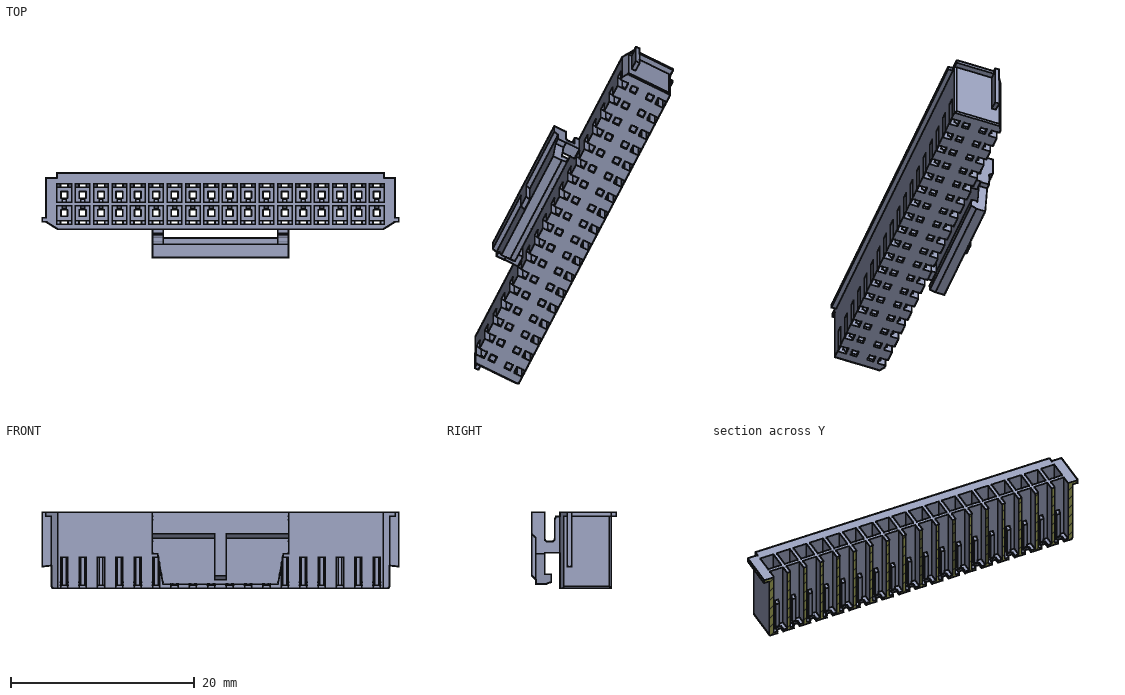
import cadquery as cq


overall_length = 38.8
height = 8.3
body_length = 36.75
body_depth = 5.6
edge_draft_inset = 0.1
edge_draft_run = 0.25
flange_length = 37.95
flange_thickness = 0.45
lip_length = 35.58
lip_depth = 0.55
front_length = 35.35
corner_bevel_depth = 0.8

tab_height = 5.95
tab_width = 0.45
tab_bottom_rise = 0.1

columns = 18
pitch = 2.0
front_hole_y = 1.8
row_spacing = 1.96
cavity_width = 1.6
cavity_depth = 1.98
floor_thickness = 0.35
pin_hole = 0.7
front_wall = 0.6
shelf_run = 0.35
slot_width = 0.78
slot_height = 3.38
rib_width = 0.43
rib_depth = 0.3
rib_top = 3.88
row_mid_y = front_hole_y + row_spacing / 2

latch_width = 14.82
arm_width = 1.2
arm_top = height - flange_thickness
arm_bottom = 3.88
arm_root = 0.6
saddle_z = 5.12
arm_fillet = 0.27
arm_bevel_run = 0.15
arm_bevel_rise = 0.35
lever_back = -1.63
lever_front = -3.05
lever_step = 0.45
lever_bottom = 0.45
grip_bottom = 5.95
hook_tip = -0.95
hook_top = 1.55
hook_bevel_run = 0.62
hook_bevel_rise = 0.25
shoulder_z = 3.75
taper_top_width = 13.65
taper_bottom_width = 12.5
spine_width = 1.25
spine_bottom = 1.4


def block(x_size, y_range, z_range):
    """Box centred on X that fills the given Y and Z ranges."""
    y_low, y_high = y_range
    z_low, z_high = z_range
    box = cq.Workplane("XY").box(x_size, y_high - y_low, z_high - z_low, centered=(True, False, False))
    return box.translate((0, y_low, z_low))


def side_profile(points, x_size):
    """Extrude a closed (y, z) outline, centred on X."""
    return cq.Workplane("YZ").polyline(points).close().extrude(x_size / 2, both=True)


def bevelled_plan(length, depth):
    """Closed (x, y) outline with the two front corners cut along the common bevel line."""
    slope = corner_bevel_depth / (flange_length - front_length)
    bevel_y = (length - front_length) * slope
    half = length / 2
    front_half = front_length / 2
    return [
        (-front_half, 0), (front_half, 0), (half, bevel_y),
        (half, depth), (-half, depth), (-half, bevel_y),
    ]


def make_housing():
    body = cq.Workplane("XY").polyline(bevelled_plan(body_length, body_depth)).close().extrude(height)
    body = bevel_ends(body)
    flange = (
        cq.Workplane("XY", origin=(0, 0, height - flange_thickness))
        .polyline(bevelled_plan(flange_length, body_depth)).close().extrude(flange_thickness)
    )
    lip_y = (body_depth, body_depth + lip_depth)
    lip = block(lip_length, lip_y, (height - flange_thickness, height))
    return body.union(flange).union(lip).union(make_tabs())


def make_tabs():
    """Both keying tabs as one bar through the housing; their undersides slope up inwards."""
    tip = overall_length / 2
    root = body_length / 2
    tip_z = height - tab_height
    root_z = tip_z + tab_bottom_rise
    outline = [(-tip, height), (-tip, tip_z), (-root, root_z), (root, root_z), (tip, tip_z), (tip, height)]
    bar = cq.Workplane("XZ").polyline(outline).close().extrude(-tab_width)
    return bar.translate((0, corner_bevel_depth, 0))


def bevel_ends(body):
    """Bevel the bottom and rear edges of both end faces."""
    half = body_length / 2
    for side in (-1, 1):
        outer = side * half
        inner = side * (half - edge_draft_inset)
        bottom_cut = (
            cq.Workplane("XZ").polyline([(outer, 0), (inner, 0), (outer, edge_draft_run)])
            .close().extrude(-body_depth)
        )
        rear_cut = (
            cq.Workplane("XY")
            .polyline([(outer, body_depth), (inner, body_depth), (outer, body_depth - edge_draft_run)])
            .close().extrude(height)
        )
        body = body.cut(bottom_cut).cut(rear_cut)
    return body


def make_front_cavity():
    """Material removed for one contact of the front row, at X = 0."""
    outer_y = front_wall
    inner_y = front_wall + cavity_depth
    shelf_y = outer_y + shelf_run
    rib_y = inner_y - rib_depth
    chamber = side_profile(
        [
            (outer_y, height), (outer_y, floor_thickness + shelf_run),
            (shelf_y, floor_thickness), (inner_y, floor_thickness), (inner_y, height),
        ],
        cavity_width,
    )
    rib = side_profile(
        [
            (inner_y, 0), (inner_y, rib_top),
            (rib_y, rib_top - rib_depth), (rib_y, 0),
        ],
        rib_width,
    )
    hole = block(pin_hole, (front_hole_y - pin_hole / 2, front_hole_y + pin_hole / 2), (0, height))
    slot = block(slot_width, (0, shelf_y), (0, slot_height))
    return chamber.union(hole).cut(rib).union(slot)


def cut_cavities(housing):
    front = make_front_cavity()
    rear = front.mirror("XZ").translate((0, 2 * row_mid_y, 0))
    for column in range(columns):
        x = (column - (columns - 1) / 2) * pitch
        housing = housing.cut(front.translate((x, 0, 0))).cut(rear.translate((x, 0, 0)))
    return housing


def make_arms():
    """Pair of U-shaped arms that carry the lever on the housing."""
    arm = side_profile(
        [
            (0, arm_bottom), (0, arm_top), (arm_bevel_run - arm_root, arm_top),
            (-arm_root, arm_top - arm_bevel_rise), (-arm_root, saddle_z),
            (lever_back, saddle_z), (lever_back, arm_bottom),
        ],
        arm_width,
    )
    arm = arm.edges(cq.selectors.NearestToPointSelector((0, -arm_root, saddle_z))).fillet(arm_fillet)
    arm = arm.union(make_saddle_fillet())
    offset = (latch_width - arm_width) / 2
    return arm.translate((-offset, 0, 0)).union(arm.translate((offset, 0, 0)))


def make_saddle_fillet():
    """Concave fillet between the saddle and the back of the lever."""
    corner = block(arm_width, (lever_back, lever_back + arm_fillet), (saddle_z, saddle_z + arm_fillet))
    round_cut = (
        cq.Workplane("YZ").center(lever_back + arm_fillet, saddle_z + arm_fillet)
        .circle(arm_fillet).extrude(arm_width, both=True)
    )
    return corner.cut(round_cut)


def make_lever():
    relief_y = lever_front + lever_step
    plate = side_profile(
        [
            (lever_back, height), (lever_front, height), (lever_front, grip_bottom),
            (relief_y, grip_bottom - lever_step), (relief_y, lever_bottom),
            (hook_tip - hook_bevel_run, lever_bottom), (hook_tip, lever_bottom + hook_bevel_rise),
            (hook_tip, hook_top), (lever_back, hook_top),
        ],
        latch_width,
    )
    outline = (
        cq.Workplane("XZ")
        .polyline([
            (-latch_width / 2, height), (latch_width / 2, height),
            (latch_width / 2, shoulder_z), (taper_top_width / 2, shoulder_z),
            (taper_bottom_width / 2, lever_bottom), (-taper_bottom_width / 2, lever_bottom),
            (-taper_top_width / 2, shoulder_z), (-latch_width / 2, shoulder_z),
        ])
        .close().extrude(-lever_front)
    )
    spine = side_profile(
        [
            (relief_y, height), (lever_front, height),
            (lever_front, spine_bottom), (relief_y, spine_bottom - lever_step),
        ],
        spine_width,
    )
    return plate.intersect(outline).union(spine)


result = cut_cavities(make_housing()).union(make_arms()).union(make_lever())